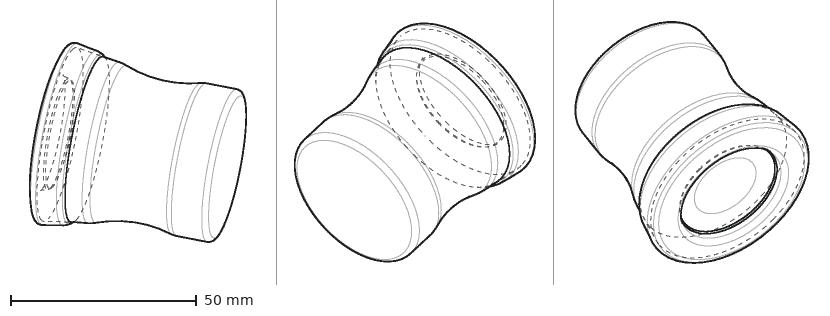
import cadquery as cq
import math


total_length = 49.91
cap_length = 10.8

grip_radius = 21.0
grip_start = 39.9
end_rounding = 1.5
grip_blend = 5.0
waist_curve = 34.0
waist_x = 29.2
neck_blend = 10.0
neck_blend_end = 17.4
neck_angle = math.radians(8)
head_front = 3.2
dish_rim_radius = 14.87
dish_floor = 4.4
dish_floor_radius = 9.6

rim_radius = 25.0
rim_rounding = 1.5
cap_taper = math.radians(10)
lip_radius = 17.2
lip_rounding = 1.7
bore_draft = math.radians(14)
bore_bevel_start = 2.67
dome_curve = 16.0
dome_edge_angle = math.radians(20)
cap_taper_end = 8.65
cap_bevel_start = (10.15, 23.4)


def arc_point(center, radius, angle):
    """Point on a circle, at an angle from the outward radial direction toward +X."""
    return (center[0] + radius * math.sin(angle), center[1] + radius * math.cos(angle))


def turned(outline):
    """Close the outline with a straight line and revolve it about the X axis."""
    return outline.close().revolve(360, (0, 0, 0), (1, 0, 0))


grip_center = (grip_start, grip_radius - grip_blend)
center_spacing = waist_curve + grip_blend
waist_center_radius = grip_center[1] + math.sqrt(center_spacing**2 - (grip_start - waist_x) ** 2)
waist_center = (waist_x, waist_center_radius)
waist_end_angle = math.asin((grip_start - waist_x) / center_spacing)
waist_start_angle = math.asin((waist_x - neck_blend_end) / waist_curve)

waist_start = arc_point(waist_center, -waist_curve, waist_start_angle)
waist_bottom = arc_point(waist_center, -waist_curve, 0)
waist_end = arc_point(waist_center, -waist_curve, -waist_end_angle)

neck_center = arc_point(waist_center, -(waist_curve + neck_blend), waist_start_angle)
neck_blend_start = arc_point(neck_center, neck_blend, neck_angle)
neck_blend_mid = arc_point(neck_center, neck_blend, (neck_angle + waist_start_angle) / 2)


def neck_radius(x):
    """Radius of the neck cone, which runs on under the cap to the front of the handle."""
    return neck_blend_start[1] + (neck_blend_start[0] - x) * math.tan(neck_angle)


head_edge = (head_front, neck_radius(head_front))
cap_seat_end = (cap_length, neck_radius(cap_length))

grip_blend_mid = arc_point(grip_center, grip_blend, -waist_end_angle / 2)

end_center = (total_length - end_rounding, grip_radius - end_rounding)
end_rounding_mid = arc_point(end_center, end_rounding, math.pi / 4)


def make_handle():
    """Waisted handle whose dished front closes the bore of the cap."""
    outline = (
        cq.Workplane("XY")
        .moveTo(dish_floor, 0)
        .lineTo(dish_floor, dish_floor_radius)
        .lineTo(head_front, dish_rim_radius)
        .lineTo(*head_edge)
        .lineTo(*neck_blend_start)
        .threePointArc(neck_blend_mid, waist_start)
        .threePointArc(waist_bottom, waist_end)
        .threePointArc(grip_blend_mid, (grip_start, grip_radius))
        .lineTo(end_center[0], grip_radius)
        .threePointArc(end_rounding_mid, (total_length, end_center[1]))
        .lineTo(total_length, 0)
    )
    return turned(outline)


dome_center = (dome_curve, lip_radius)
dome_mid = arc_point(dome_center, dome_curve, dome_edge_angle / 2 - math.pi / 2)
dome_edge = arc_point(dome_center, dome_curve, dome_edge_angle - math.pi / 2)

rim_center_radius = rim_radius - rim_rounding
rim_start_radius = rim_center_radius + rim_rounding * math.sin(dome_edge_angle)
rim_start_x = dome_edge[0] + (rim_start_radius - dome_edge[1]) * math.tan(dome_edge_angle)
rim_center = (rim_start_x + rim_rounding * math.cos(dome_edge_angle), rim_center_radius)
rim_crest = arc_point(rim_center, rim_rounding, 0)
rim_end = arc_point(rim_center, rim_rounding, cap_taper)
taper_end_radius = rim_end[1] - (cap_taper_end - rim_end[0]) * math.tan(cap_taper)

lip_center = (lip_rounding, lip_radius)
lip_mid = arc_point(lip_center, -lip_rounding, math.pi / 4)
lip_end = arc_point(lip_center, -lip_rounding, bore_draft)
bore_bevel_radius = lip_end[1] - (bore_bevel_start - lip_end[0]) * math.tan(bore_draft)


def make_cap():
    """Domed ring that fits over the front face and the neck cone of the handle."""
    outline = (
        cq.Workplane("XY")
        .moveTo(*cap_seat_end)
        .lineTo(*head_edge)
        .lineTo(head_front, dish_rim_radius)
        .lineTo(bore_bevel_start, bore_bevel_radius)
        .lineTo(*lip_end)
        .threePointArc(lip_mid, (0, lip_radius))
        .threePointArc(dome_mid, dome_edge)
        .lineTo(rim_start_x, rim_start_radius)
        .threePointArc(rim_crest, rim_end)
        .lineTo(cap_taper_end, taper_end_radius)
        .tangentArcPoint(cap_bevel_start, relative=False)
    )
    return turned(outline)


handle = make_handle()
cap = make_cap()

result = cq.Compound.makeCompound([handle.val(), cap.val()])